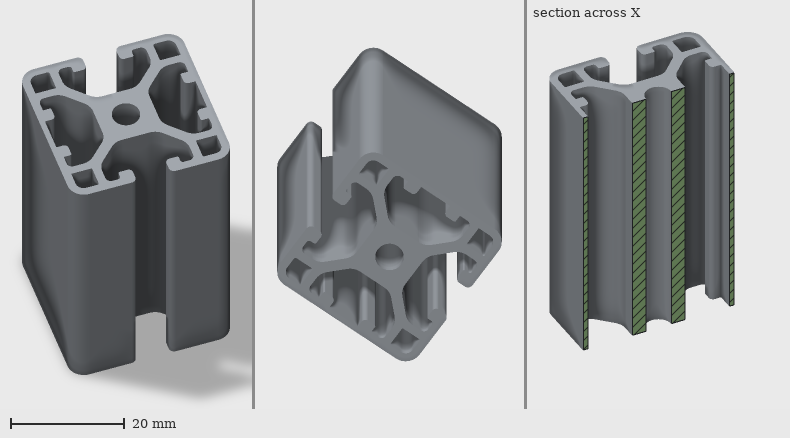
import cadquery as cq
import math

length = 50.0
side = 30.0
half_side = side / 2
outer_radius = 3.0
bore_diameter = 5.0

wall = 1.5
wall_face = half_side - wall
core_half = 5.25
strut_width = 2.0
strut_offset = strut_width / math.sqrt(2)
strut_radius = 3.0

channel_half = 8.15
channel_corner_radius = 1.0

mouth_half = 3.1
lip_width = 2.5
lip_end = mouth_half + lip_width
lip_depth = 3.0
lip_face = half_side - lip_depth
lip_outer_radius = 1.0
lip_inner_radius = 0.8
lip_edge_radius = 0.3
lip_root_radius = 0.5

skin = 1.0
skin_face = half_side - skin

box_inner = channel_half + wall
box_outer_radius = 1.5
box_side_radius = 0.3


def rounded_prism(corners):
    """Extrude a closed polygon of (x, y, radius) corners; radius 0 keeps a corner sharp."""
    outline = None
    for i, (x, y, radius) in enumerate(corners):
        before = corners[i - 1]
        after = corners[(i + 1) % len(corners)]
        corner = cq.Vector(x, y)
        to_before = (cq.Vector(before[0], before[1]) - corner).normalized()
        to_after = (cq.Vector(after[0], after[1]) - corner).normalized()
        half_angle = to_before.getAngle(to_after) / 2
        setback = radius / math.tan(half_angle)
        start = corner + to_before * setback
        if outline is None:
            outline = cq.Workplane("XY").moveTo(start.x, start.y)
        else:
            outline = outline.lineTo(start.x, start.y)
        if radius > 0:
            end = corner + to_after * setback
            bisector = (to_before + to_after).normalized()
            middle = corner + bisector * (radius / math.sin(half_angle) - radius)
            outline = outline.threePointArc((middle.x, middle.y), (end.x, end.y))
    return outline.close().extrude(length)


def symmetric_prism(half_corners):
    """Extrude the outline made of the given corners and their mirror image across the X axis."""
    mirrored = [(x, -y, radius) for x, y, radius in reversed(half_corners)]
    return rounded_prism(half_corners + mirrored)


def channel_corners(lip_root):
    """Corners of half a channel from the core along one strut and around one lip, +X facing."""
    return [
        (core_half, core_half - strut_offset, strut_radius),
        (channel_half + strut_offset, channel_half, strut_radius),
        (wall_face, channel_half, channel_corner_radius),
        (wall_face, lip_end, lip_root),
        (lip_face, lip_end, lip_edge_radius),
        (lip_face, mouth_half, lip_inner_radius),
    ]


def open_slot():
    """T-slot through the +X side; the rounding block curves the outer edges of its mouth."""
    beyond = half_side + lip_outer_radius
    slot = symmetric_prism(channel_corners(lip_root_radius) + [(beyond, mouth_half, 0)])
    rounding_block = (
        cq.Workplane("XY")
        .rect(2 * lip_outer_radius, 2 * (mouth_half + lip_outer_radius))
        .extrude(length)
        .translate((half_side, 0, 0))
    )
    for direction in (-1, 1):
        lip_round = (
            cq.Workplane("XY")
            .center(half_side - lip_outer_radius, direction * (mouth_half + lip_outer_radius))
            .circle(lip_outer_radius)
            .extrude(length)
        )
        rounding_block = rounding_block.cut(lip_round)
    return slot.union(rounding_block)


def closed_channel():
    """Channel with two inward tabs behind the closed skin, modelled facing +X."""
    return symmetric_prism(channel_corners(0) + [(skin_face, mouth_half, 0)])


def corner_box():
    """Hollow in the +X +Y corner."""
    return rounded_prism([
        (box_inner, box_inner, 0),
        (wall_face, box_inner, box_side_radius),
        (wall_face, wall_face, box_outer_radius),
        (box_inner, wall_face, 0),
    ])


def turned(body, angle):
    """Turn a body about the Z axis."""
    return body.rotate((0, 0, 0), (0, 0, 1), angle)


result = cq.Workplane("XY").rect(side, side).extrude(length).edges("|Z").fillet(outer_radius)
result = result.cut(cq.Workplane("XY").circle(bore_diameter / 2).extrude(length))

for half_turn in (0, 180):
    result = result.cut(turned(open_slot(), half_turn))
    result = result.cut(turned(closed_channel(), half_turn + 90))

box = corner_box()
for hollow in (box, box.mirror("YZ")):
    for half_turn in (0, 180):
        result = result.cut(turned(hollow, half_turn))